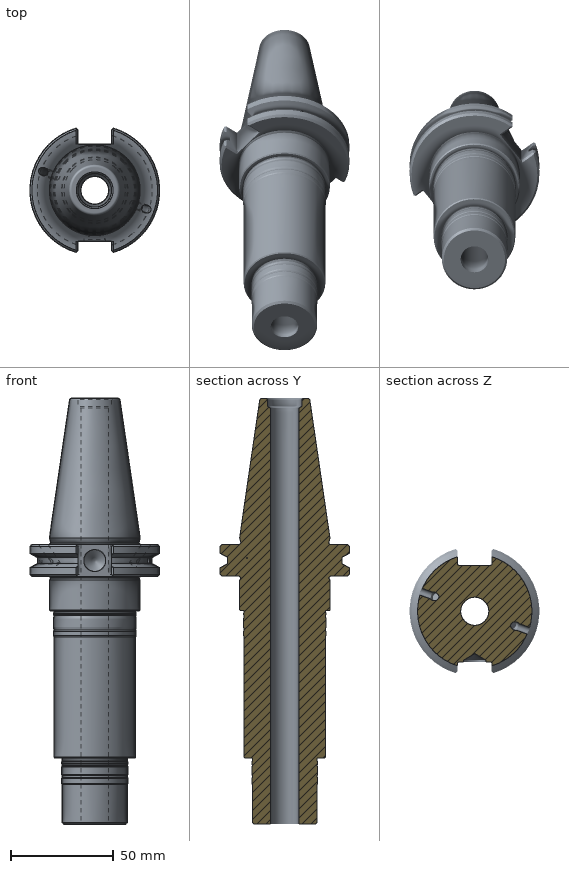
import cadquery as cq
import math


GAUGE_RADIUS = 44.45 / 2
TAPER_LENGTH = 68.4
TAPER_RATIO = 7 / 24
TIP_RADIUS = GAUGE_RADIUS - TAPER_LENGTH * TAPER_RATIO / 2
TIP_FILLET = 1.3

FLANGE_RADIUS = 63.5 / 2
FLANGE_TOP = -3.2
FLANGE_BOTTOM = -18.9
FLANGE_CHAMFER = 1.0
GROOVE_CENTER = -11.1
GROOVE_FLOOR_RADIUS = 28.1
GROOVE_FLOOR_HALF = 1.5
GROOVE_RIM_HALF = 3.5
NECK_RADIUS = 21.6
NECK_FLARE = 0.7
LOWER_NECK_BOTTOM = FLANGE_BOTTOM - 1.8

COLLAR_BOTTOM = -35.75
BODY_RADIUS = 40 / 2
BODY_RING_RADIUS = 40.5 / 2
BODY_RINGS = [(-36.3, -38.1, 0.6), (-38.3, -45.0, 1.2), (-45.2, -48.4, 0.6)]
BODY_BOTTOM = -107.8
EDGE_CHAMFER = 0.5

NOSE_RADIUS = 32 / 2
NOSE_RING_RADIUS = 32.5 / 2
NOSE_RINGS = [(-109.2, -111.1, 0.6), (-111.6, -116.3, 0.6), (-117.2, -120.7, 0.6)]
OVERALL_LENGTH = 208.65
PART_BOTTOM = TAPER_LENGTH - OVERALL_LENGTH
NOSE_CHAMFER = 1.0

BORE_RADIUS = 13.53 / 2
COUNTERBORE_RADIUS = 16.5 / 2
MOUTH_RADIUS = 18 / 2
MOUTH_CHAMFER = MOUTH_RADIUS - COUNTERBORE_RADIUS
COUNTERBORE_DEPTH = 4.0
LEDGE_DROP = 0.9

SLOT_HALF_WIDTH = 16.6 / 2
FRONT_SLOT_FLOOR = 25.0
REAR_SLOT_FLOOR = 22.6
SLOT_CORNER_RADIUS = 0.6
SLOT_CHAMFER = 0.88

DIMPLE_RADIUS = 10.7 / 2
DIMPLE_DEPTH = 1.0
DRILL_POINT_ANGLE = 118
COOLANT_RADIUS = 3.9 / 2
COOLANT_PITCH_RADIUS = 26.8
COOLANT_TILT = 35
COOLANT_DEPTH = 12.0
PLUG_RADIUS = 3.24 / 2
PLUG_END_RADIUS = 22.0
HOLE_ANGLES = [160, 340]


def ring_points(base_radius, ring_radius, rings):
    """Outline of raised rings with sloped flanks, listed from the top down."""
    points = []
    for top, bottom, flank in rings:
        points += [
            (base_radius, top),
            (ring_radius, top - flank),
            (ring_radius, bottom + flank),
            (base_radius, bottom),
        ]
    return points


def make_body():
    """Turned body: taper, flange, collar, ringed shank and nose."""
    chamfered_radius = FLANGE_RADIUS - FLANGE_CHAMFER
    outline = [
        (0, TAPER_LENGTH),
        (TIP_RADIUS, TAPER_LENGTH),
        (GAUGE_RADIUS, 0),
        (NECK_RADIUS, FLANGE_TOP + NECK_FLARE),
        (GAUGE_RADIUS, FLANGE_TOP),
        (chamfered_radius, FLANGE_TOP),
        (FLANGE_RADIUS, FLANGE_TOP - FLANGE_CHAMFER),
        (FLANGE_RADIUS, GROOVE_CENTER + GROOVE_RIM_HALF),
        (GROOVE_FLOOR_RADIUS, GROOVE_CENTER + GROOVE_FLOOR_HALF),
        (GROOVE_FLOOR_RADIUS, GROOVE_CENTER - GROOVE_FLOOR_HALF),
        (FLANGE_RADIUS, GROOVE_CENTER - GROOVE_RIM_HALF),
        (FLANGE_RADIUS, FLANGE_BOTTOM + FLANGE_CHAMFER),
        (chamfered_radius, FLANGE_BOTTOM),
        (GAUGE_RADIUS, FLANGE_BOTTOM),
        (NECK_RADIUS, FLANGE_BOTTOM - NECK_FLARE),
        (GAUGE_RADIUS, LOWER_NECK_BOTTOM),
        (GAUGE_RADIUS, COLLAR_BOTTOM + EDGE_CHAMFER),
        (GAUGE_RADIUS - EDGE_CHAMFER, COLLAR_BOTTOM),
        (BODY_RADIUS, COLLAR_BOTTOM),
        *ring_points(BODY_RADIUS, BODY_RING_RADIUS, BODY_RINGS),
        (BODY_RADIUS, BODY_BOTTOM + EDGE_CHAMFER),
        (BODY_RADIUS - EDGE_CHAMFER, BODY_BOTTOM),
        (NOSE_RADIUS, BODY_BOTTOM),
        *ring_points(NOSE_RADIUS, NOSE_RING_RADIUS, NOSE_RINGS),
        (NOSE_RADIUS, PART_BOTTOM + NOSE_CHAMFER),
        (NOSE_RADIUS - NOSE_CHAMFER, PART_BOTTOM),
        (0, PART_BOTTOM),
    ]
    body = cq.Workplane("XZ").polyline(outline).close().revolve(360, (0, 0, 0), (0, 1, 0))
    return body.faces(">Z").edges().fillet(TIP_FILLET)


def make_bore():
    """Stepped through bore with a chamfered mouth at the taper end."""
    ledge = TAPER_LENGTH - COUNTERBORE_DEPTH
    outline = [
        (0, TAPER_LENGTH),
        (MOUTH_RADIUS, TAPER_LENGTH),
        (COUNTERBORE_RADIUS, TAPER_LENGTH - MOUTH_CHAMFER),
        (COUNTERBORE_RADIUS, ledge),
        (BORE_RADIUS, ledge - LEDGE_DROP),
        (BORE_RADIUS, PART_BOTTOM),
        (0, PART_BOTTOM),
    ]
    return cq.Workplane("XZ").polyline(outline).close().revolve(360, (0, 0, 0), (0, 1, 0))


def make_slot(floor):
    """Drive slot cutter opening towards +Y, with flared outer, top and bottom edges."""
    height = FLANGE_TOP - FLANGE_BOTTOM
    mid_height = (FLANGE_TOP + FLANGE_BOTTOM) / 2
    flared_half = SLOT_HALF_WIDTH + SLOT_CHAMFER
    rim = math.sqrt(FLANGE_RADIUS**2 - flared_half**2)
    length = FLANGE_RADIUS - floor

    channel = (
        cq.Workplane("XY")
        .box(2 * SLOT_HALF_WIDTH, length, height)
        .edges("|Z and <Y")
        .fillet(SLOT_CORNER_RADIUS)
        .translate((0, floor + length / 2, mid_height))
    )
    outer_flare = (
        cq.Workplane("XY", origin=(0, 0, FLANGE_BOTTOM))
        .polyline(
            [
                (-SLOT_HALF_WIDTH, rim - SLOT_CHAMFER),
                (SLOT_HALF_WIDTH, rim - SLOT_CHAMFER),
                (flared_half, rim),
                (flared_half, FLANGE_RADIUS),
                (-flared_half, FLANGE_RADIUS),
                (-flared_half, rim),
            ]
        )
        .close()
        .extrude(height)
    )
    cutter = channel.union(outer_flare)
    for face, inward in ((FLANGE_TOP, -1), (FLANGE_BOTTOM, 1)):
        edge_flare = (
            cq.Workplane("XZ", origin=(0, floor, 0))
            .polyline(
                [
                    (-flared_half, face),
                    (flared_half, face),
                    (SLOT_HALF_WIDTH, face + inward * SLOT_CHAMFER),
                    (-SLOT_HALF_WIDTH, face + inward * SLOT_CHAMFER),
                ]
            )
            .close()
            .extrude(-length)
        )
        cutter = cutter.union(edge_flare)
    return cutter


def make_dimple():
    """Blind drilled hole with a conical end in the floor of the -Y slot."""
    point_depth = DIMPLE_RADIUS / math.tan(math.radians(DRILL_POINT_ANGLE / 2))
    outline = [
        (0, -FRONT_SLOT_FLOOR),
        (DIMPLE_RADIUS, -FRONT_SLOT_FLOOR),
        (DIMPLE_RADIUS, -FRONT_SLOT_FLOOR + DIMPLE_DEPTH),
        (0, -FRONT_SLOT_FLOOR + DIMPLE_DEPTH + point_depth),
    ]
    profile = cq.Workplane("XY", origin=(0, 0, GROOVE_CENTER)).polyline(outline).close()
    return profile.revolve(360, (0, 0, 0), (0, 1, 0))


def make_flange_holes(angle):
    """Coolant hole leaning inward from the flange top, and the radial plug hole meeting it."""
    tilt = math.radians(COOLANT_TILT)
    axis = cq.Vector(-math.sin(tilt), 0, -math.cos(tilt))
    start = cq.Vector(COOLANT_PITCH_RADIUS, 0, FLANGE_TOP)
    overshoot = 2 * COOLANT_RADIUS
    coolant = cq.Solid.makeCylinder(
        COOLANT_RADIUS, COOLANT_DEPTH + overshoot, start - axis * overshoot, axis
    )
    plug = cq.Solid.makeCylinder(
        PLUG_RADIUS,
        GROOVE_FLOOR_RADIUS - PLUG_END_RADIUS + PLUG_RADIUS,
        cq.Vector(PLUG_END_RADIUS, 0, GROOVE_CENTER),
        cq.Vector(1, 0, 0),
    )
    holes = cq.Workplane(obj=coolant).union(cq.Workplane(obj=plug))
    return holes.rotate((0, 0, 0), (0, 0, 1), angle)


result = make_body().cut(make_bore())
result = result.cut(make_slot(REAR_SLOT_FLOOR))
result = result.cut(make_slot(FRONT_SLOT_FLOOR).rotate((0, 0, 0), (0, 0, 1), 180))
result = result.cut(make_dimple())
for hole_angle in HOLE_ANGLES:
    result = result.cut(make_flange_holes(hole_angle))